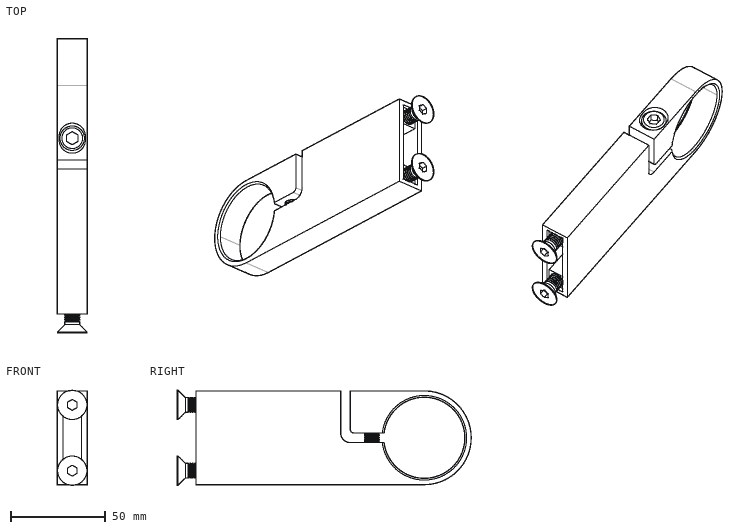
import cadquery as cq
import math


ARM_WIDTH = 16.0
ARM_HEIGHT = 50.0
ARM_END_Y = -121.4
RING_RADIUS = ARM_HEIGHT / 2
BORE_RADIUS = 21.5
BORE_CHAMFER = 1.0

SLIT_WIDTH = 5.0
JAW_END_Y = -39.4
SLIT_END_Y = JAW_END_Y - SLIT_WIDTH
JAW_CORNER_RADIUS = 2.0
SLIT_CORNER_RADIUS = 5.0

CAVITY_WIDTH = 10.0
RECESS_WALL = 2.5
RECESS_HEIGHT = ARM_HEIGHT - 2 * RECESS_WALL
RECESS_DEPTH = 2.0
BOSS_HEIGHT = 10.0
CAVITY_HEIGHT = RECESS_HEIGHT - 2 * BOSS_HEIGHT
CAVITY_DEPTH = 20.0

THREAD_RADIUS = 4.0
THREAD_PITCH = 1.25
THREAD_DEPTH = 0.6
CREST_WIDTH = THREAD_PITCH / 5
PLAIN_TIP = 1.0

MOUNT_SPACING = RECESS_HEIGHT - BOSS_HEIGHT
MOUNT_HEAD_RADIUS = 15.57 / 2
MOUNT_HEAD_RIM = 0.55
MOUNT_HEAD_HEIGHT = MOUNT_HEAD_RIM + MOUNT_HEAD_RADIUS - THREAD_RADIUS
MOUNT_NECK = 1.3
MOUNT_LENGTH = 25.0
MOUNT_HEAD_STANDOFF = 10.0
MOUNT_HEX = 5.0
MOUNT_HEX_DEPTH = 3.0
MOUNT_FACE_Y = ARM_END_Y - MOUNT_HEAD_STANDOFF

CLAMP_Y = -27.9
CLAMP_HEAD_RADIUS = 6.5
CLAMP_HEAD_HEIGHT = 8.0
CLAMP_HEAD_CHAMFER = 1.0
CLAMP_HEAD_SINK = 0.5
CLAMP_SHANK_LENGTH = 30.0
CLAMP_LENGTH = CLAMP_HEAD_HEIGHT + CLAMP_SHANK_LENGTH
CLAMP_HEX = 6.0
CLAMP_HEX_DEPTH = 4.0
COUNTERBORE_WIDTH = 14.0
COUNTERBORE_LENGTH = 16.0
CLAMP_FACE_Z = ARM_HEIGHT / 2 - CLAMP_HEAD_SINK
CLAMP_SEAT_Z = CLAMP_FACE_Z - CLAMP_HEAD_HEIGHT


def hex_socket(across_flats, depth):
    """Hexagonal socket below Z = 0, corners on Y, ending in a 45 degree cone."""
    corner_radius = across_flats / math.sqrt(3)
    tip_depth = depth + corner_radius
    prism = (
        cq.Workplane("XY")
        .polygon(6, 2 * corner_radius)
        .extrude(-tip_depth)
        .rotate((0, 0, 0), (0, 0, 1), 30)
    )
    drill = (
        cq.Workplane("XZ")
        .polyline([(0, 0), (corner_radius, 0), (corner_radius, -depth), (0, -tip_depth)])
        .close()
        .revolve(360, (0, 0, 0), (0, 1, 0))
    )
    return prism.intersect(drill)


def screw(head_profile, thread_top, length, socket):
    """Screw on the Z axis, head face at Z = 0 and shank pointing down.

    head_profile lists (radius, z) from the head face to the top of the shank.
    """
    groove_count = math.floor((thread_top + length - PLAIN_TIP) / THREAD_PITCH)
    root_radius = THREAD_RADIUS - THREAD_DEPTH
    points = [(0, 0)] + head_profile
    for i in range(groove_count):
        crest_top = thread_top - i * THREAD_PITCH
        crest_bottom = crest_top - CREST_WIDTH
        root = (crest_bottom + crest_top - THREAD_PITCH) / 2
        points += [(THREAD_RADIUS, crest_top), (THREAD_RADIUS, crest_bottom), (root_radius, root)]
    points += [
        (THREAD_RADIUS, thread_top - groove_count * THREAD_PITCH),
        (THREAD_RADIUS, -length),
        (0, -length),
    ]
    blank = cq.Workplane("XZ").polyline(points).close().revolve(360, (0, 0, 0), (0, 1, 0))
    return blank.cut(socket)


def make_mounting_screw(z):
    head_profile = [
        (MOUNT_HEAD_RADIUS, 0),
        (MOUNT_HEAD_RADIUS, -MOUNT_HEAD_RIM),
        (THREAD_RADIUS, -MOUNT_HEAD_HEIGHT),
    ]
    thread_top = -MOUNT_HEAD_HEIGHT - MOUNT_NECK
    upright = screw(head_profile, thread_top, MOUNT_LENGTH, hex_socket(MOUNT_HEX, MOUNT_HEX_DEPTH))
    return upright.rotate((0, 0, 0), (1, 0, 0), 90).translate((0, MOUNT_FACE_Y, z))


def make_clamp_screw():
    head_profile = [
        (CLAMP_HEAD_RADIUS - CLAMP_HEAD_CHAMFER, 0),
        (CLAMP_HEAD_RADIUS, -CLAMP_HEAD_CHAMFER),
        (CLAMP_HEAD_RADIUS, -CLAMP_HEAD_HEIGHT),
    ]
    socket = hex_socket(CLAMP_HEX, CLAMP_HEX_DEPTH)
    upright = screw(head_profile, -CLAMP_HEAD_HEIGHT, CLAMP_LENGTH, socket)
    return upright.translate((0, CLAMP_Y, CLAMP_FACE_Z))


def side_plane():
    """YZ sketch plane on the -X face of the arm; extruding goes towards +X."""
    return cq.Workplane("YZ", origin=(-ARM_WIDTH / 2, 0, 0))


def arm_blank():
    return (
        side_plane()
        .moveTo(ARM_END_Y, -RING_RADIUS)
        .lineTo(0, -RING_RADIUS)
        .threePointArc((RING_RADIUS, 0), (0, RING_RADIUS))
        .lineTo(ARM_END_Y, RING_RADIUS)
        .close()
        .extrude(ARM_WIDTH)
    )


def ring_bore():
    half_width = ARM_WIDTH / 2
    rim_radius = BORE_RADIUS + BORE_CHAMFER
    return (
        cq.Workplane("XY")
        .polyline([
            (-half_width, 0),
            (-half_width, rim_radius),
            (-half_width + BORE_CHAMFER, BORE_RADIUS),
            (half_width - BORE_CHAMFER, BORE_RADIUS),
            (half_width, rim_radius),
            (half_width, 0),
        ])
        .close()
        .revolve(360, (0, 0, 0), (1, 0, 0))
    )


def jaw_slit():
    """Slit from the bore along -Y, then up through the top of the arm."""
    half = SLIT_WIDTH / 2
    return (
        side_plane()
        .moveTo(0, -half)
        .lineTo(SLIT_END_Y + SLIT_CORNER_RADIUS, -half)
        .radiusArc((SLIT_END_Y, -half + SLIT_CORNER_RADIUS), SLIT_CORNER_RADIUS)
        .lineTo(SLIT_END_Y, RING_RADIUS)
        .lineTo(JAW_END_Y, RING_RADIUS)
        .lineTo(JAW_END_Y, half + JAW_CORNER_RADIUS)
        .radiusArc((JAW_END_Y + JAW_CORNER_RADIUS, half), -JAW_CORNER_RADIUS)
        .lineTo(0, half)
        .close()
        .extrude(ARM_WIDTH)
    )


def end_plane():
    """XZ sketch plane on the open end of the arm; extruding negatively goes into it."""
    return cq.Workplane("XZ", origin=(0, ARM_END_Y, 0))


def end_cavity():
    recess = end_plane().rect(CAVITY_WIDTH, RECESS_HEIGHT).extrude(-RECESS_DEPTH)
    cavity = end_plane().rect(CAVITY_WIDTH, CAVITY_HEIGHT).extrude(-CAVITY_DEPTH)
    return recess.union(cavity)


def mounting_holes():
    return (
        end_plane()
        .pushPoints([(0, z) for z in mount_heights])
        .circle(THREAD_RADIUS)
        .extrude(MOUNT_HEAD_STANDOFF - MOUNT_LENGTH)
    )


def clamp_hole():
    """Elongated counterbore for the head and a round hole as deep as the shank."""
    seat = cq.Workplane("XY", origin=(0, CLAMP_Y, CLAMP_SEAT_Z))
    counterbore = seat.slot2D(COUNTERBORE_LENGTH, COUNTERBORE_WIDTH, 90).extrude(RING_RADIUS - CLAMP_SEAT_Z)
    shank_hole = seat.circle(THREAD_RADIUS).extrude(-CLAMP_SHANK_LENGTH)
    return counterbore.union(shank_hole)


mount_heights = [-MOUNT_SPACING / 2, MOUNT_SPACING / 2]

arm = (
    arm_blank()
    .cut(ring_bore())
    .cut(jaw_slit())
    .cut(end_cavity())
    .cut(mounting_holes())
    .cut(clamp_hole())
)
clamp_screw = make_clamp_screw()
mounting_screws = [make_mounting_screw(z) for z in mount_heights]

bodies = [arm, clamp_screw] + mounting_screws
result = cq.Compound.makeCompound([body.solids().val() for body in bodies])